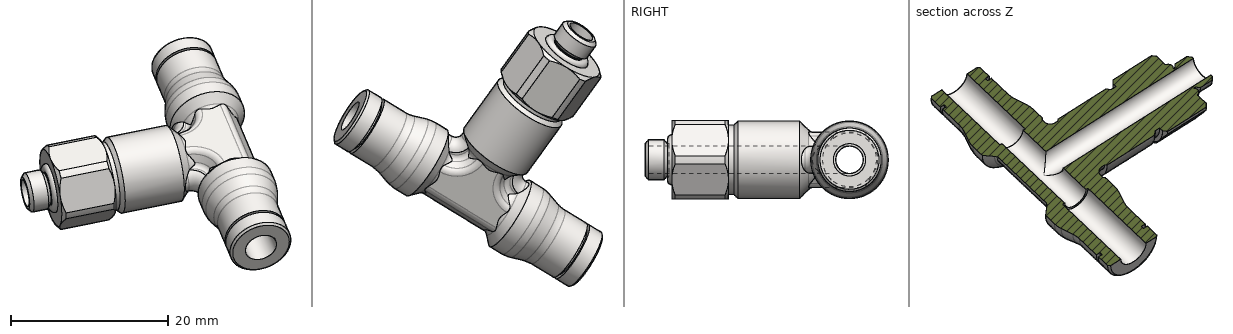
import cadquery as cq
import math


def on_circle(centre, radius, angle):
    """Point on a circle at an angle measured from its first axis."""
    return (centre[0] + radius * math.cos(angle), centre[1] + radius * math.sin(angle))


RUN_LENGTH = 36.0
HALF_RUN = RUN_LENGTH / 2
TUBE_R = 4.05
MOUTH_FACE_R = 3.75
MOUTH_CHAMFER = 0.25
GROOVE_START = 2.15
GROOVE_END = 2.52
GROOVE_R = 3.42
FLARE_START = 6.48
FLARE_END = 9.25
FLARE_BLEND_R = 3.6

SHOULDER_R = 4.95
SHOULDER_DISTANCE = 6.35
CONE_ANGLE = math.radians(45)
CONE_TIP_R = 3.42
CONE_BLEND_R = 1.35
CONE_FOOT_R = CONE_TIP_R + CONE_BLEND_R * (1 - math.cos(CONE_ANGLE))
CONE_FOOT_DISTANCE = SHOULDER_DISTANCE - (SHOULDER_R - CONE_FOOT_R) / math.tan(CONE_ANGLE)
CONE_TIP_DISTANCE = CONE_FOOT_DISTANCE - CONE_BLEND_R * math.sin(CONE_ANGLE)

BORE_R = 1.73
SOCKET_R = 2.05
SOCKET_DEPTH = 11.65

BODY_HALF_Z = 3.53
BODY_REAR_Y = 3.55
REAR_CORNER_Y = 1.95
FLANK_SLOPE = math.radians(60)
EDGE_BLEND_R = 1.0
CORNER_CENTRE = 5.15
RIM_R = 4.0
FLANK_FOOT_R = 2.6
WEB_BLEND_R = 0.85
NOSE_CENTRE = 5.65
NOSE_R = 0.95
NOSE_EDGE_R = 2.25
CUT_MARGIN = 0.35
PICK_MARGIN = 0.35

UPRIGHT = math.pi / 2
EDGE_CENTRE = (RIM_R, BODY_HALF_Z - EDGE_BLEND_R)
FLANK_TOP = on_circle(EDGE_CENTRE, EDGE_BLEND_R, UPRIGHT + FLANK_SLOPE)
FLANK_DROP = (FLANK_TOP[0] - FLANK_FOOT_R) * math.tan(FLANK_SLOPE)
FLANK_FOOT = (FLANK_FOOT_R, FLANK_TOP[1] - FLANK_DROP)
WEB_BLEND_CENTRE = on_circle(FLANK_FOOT, WEB_BLEND_R, UPRIGHT + FLANK_SLOPE)
WEB_TOP = on_circle(WEB_BLEND_CENTRE, WEB_BLEND_R, -UPRIGHT)
WEB_HALF_Z = WEB_TOP[1]

SLEEVE_END = -14.7
SLEEVE_CHAMFER = 0.55
NECK_R = 4.43
HEX_START = -15.37
HEX_END = -22.57
HEX_FLATS = 10.0
HEX_CORNER_R = 5.5
HEX_CHAMFER = 0.45
SEAL_SECTION_R = 0.65
SEAL_END = -23.15
THREAD_R = 2.55
THREAD_TIP_R = 2.1
THREAD_CHAMFER = 0.45
BRANCH_END = -25.95


def shoulder_cone():
    """Cone from the +X shoulder inwards, blending tangentially towards the middle body."""
    blend_centre = (CONE_TIP_DISTANCE, CONE_TIP_R + CONE_BLEND_R)
    blend_mid = on_circle(blend_centre, CONE_BLEND_R, CONE_ANGLE / 2 - math.pi / 2)
    outline = (
        cq.Workplane("XY")
        .moveTo(CONE_TIP_DISTANCE, 0)
        .lineTo(CONE_TIP_DISTANCE, CONE_TIP_R)
        .threePointArc(blend_mid, (CONE_FOOT_DISTANCE, CONE_FOOT_R))
        .lineTo(SHOULDER_DISTANCE, SHOULDER_R)
        .lineTo(SHOULDER_DISTANCE, 0)
        .close()
    )
    return outline.revolve(360, (0, 0, 0), (1, 0, 0))


def run_arm():
    """Tube socket on the +X side, turned about the X axis."""
    end = HALF_RUN
    outline = [
        (SHOULDER_DISTANCE, 0),
        (SHOULDER_DISTANCE, SHOULDER_R),
        (end - FLARE_END, SHOULDER_R),
        (end - FLARE_START, TUBE_R),
        (end - GROOVE_END, TUBE_R),
        (end - GROOVE_END, GROOVE_R),
        (end - GROOVE_START, GROOVE_R),
        (end - GROOVE_START, TUBE_R),
        (end - MOUTH_CHAMFER, TUBE_R),
        (end, MOUTH_FACE_R),
        (end, 0),
    ]
    arm = cq.Workplane("XY").polyline(outline).close().revolve(360, (0, 0, 0), (1, 0, 0))
    flare_zone = cq.selectors.BoxSelector(
        (end - FLARE_END - PICK_MARGIN, -SHOULDER_R, -SHOULDER_R),
        (end - FLARE_START + PICK_MARGIN, SHOULDER_R, SHOULDER_R),
    )
    return arm.edges(flare_zone).edges("%CIRCLE").fillet(FLARE_BLEND_R)


def branch_turned():
    """Round parts of the branch, turned about the Y axis."""
    outline = [
        (0, -SHOULDER_DISTANCE),
        (SHOULDER_R, -SHOULDER_DISTANCE),
        (SHOULDER_R, SLEEVE_END + SLEEVE_CHAMFER),
        (NECK_R, SLEEVE_END),
        (NECK_R, HEX_END),
        (THREAD_TIP_R, HEX_END),
        (THREAD_TIP_R, SEAL_END),
        (THREAD_R, SEAL_END - THREAD_CHAMFER),
        (THREAD_R, BRANCH_END + THREAD_CHAMFER),
        (THREAD_TIP_R, BRANCH_END),
        (0, BRANCH_END),
    ]
    return cq.Workplane("XY").polyline(outline).close().revolve(360, (0, 0, 0), (0, 1, 0))


def seal_ring():
    """Sealing ring of round section, partly sunk into the end of the hexagon."""
    section = cq.Workplane("XY").center(THREAD_R, SEAL_END + SEAL_SECTION_R).circle(SEAL_SECTION_R)
    return section.revolve(360, (-THREAD_R, 0, 0), (-THREAD_R, 1, 0))


def hexagon():
    """Hexagon with flats facing +Z and -Z, its corners turned down and chamfered."""
    length = HEX_START - HEX_END
    across_corners = HEX_FLATS / math.cos(math.pi / 6)
    face_r = HEX_FLATS / 2
    prism = cq.Workplane("XZ", origin=(0, HEX_START, 0)).polygon(6, across_corners).extrude(length)
    outline = [
        (0, HEX_START),
        (face_r, HEX_START),
        (HEX_CORNER_R, HEX_START - HEX_CHAMFER),
        (HEX_CORNER_R, HEX_END + HEX_CHAMFER),
        (face_r, HEX_END),
        (0, HEX_END),
    ]
    turned = cq.Workplane("XY").polyline(outline).close().revolve(360, (0, 0, 0), (0, 1, 0))
    return prism.intersect(turned)


def flank_section(plane):
    """Material removed above the web: rounded top edge, sloped flank, blend into the web."""
    above = BODY_HALF_Z + CUT_MARGIN
    edge_mid = on_circle(EDGE_CENTRE, EDGE_BLEND_R, UPRIGHT + FLANK_SLOPE / 2)
    blend_mid = on_circle(WEB_BLEND_CENTRE, WEB_BLEND_R, FLANK_SLOPE / 2 - UPRIGHT)
    return (
        cq.Workplane(plane)
        .moveTo(0, above)
        .lineTo(RIM_R, above)
        .lineTo(RIM_R, BODY_HALF_Z)
        .threePointArc(edge_mid, FLANK_TOP)
        .lineTo(*FLANK_FOOT)
        .threePointArc(blend_mid, WEB_TOP)
        .lineTo(0, WEB_HALF_Z)
        .close()
    )


def nose_section(plane):
    """Material removed outside the bulging nose of the web."""
    return (
        cq.Workplane(plane)
        .moveTo(0, WEB_HALF_Z)
        .lineTo(NOSE_EDGE_R, WEB_HALF_Z)
        .threePointArc((NOSE_R, 0), (NOSE_EDGE_R, -WEB_HALF_Z))
        .lineTo(0, -WEB_HALF_Z)
        .close()
    )


def corner_sweep(section, centre):
    """Sweep a section round the +X corner: a quarter turn with a straight run-out along each arm."""
    overrun = SHOULDER_DISTANCE - centre
    corner = (centre, -centre, 0)
    along_branch = cq.Plane(origin=corner, xDir=(-1, 0, 0), normal=(0, 1, 0))
    along_run = cq.Plane(origin=corner, xDir=(0, 1, 0), normal=(1, 0, 0))
    quarter = section(along_branch).revolve(90, (0, 0, 0), (0, -1, 0))
    branch_runout = section(along_branch).extrude(-overrun)
    run_runout = section(along_run).extrude(overrun)
    return quarter.union(branch_runout).union(run_runout)


def corner_relief():
    """Everything removed from the +X corner, the same above and below the middle plane."""
    flank = corner_sweep(flank_section, CORNER_CENTRE)
    nose = corner_sweep(nose_section, NOSE_CENTRE)
    return flank.union(flank.mirror("XY")).union(nose)


def middle_body():
    """Flat-sided T joining the three shoulders, with sloped rear edges and relieved corners."""
    rear_half_z = BODY_HALF_Z - (BODY_REAR_Y - REAR_CORNER_Y) * math.tan(FLANK_SLOPE)
    side = [
        (-CORNER_CENTRE, BODY_HALF_Z),
        (REAR_CORNER_Y, BODY_HALF_Z),
        (BODY_REAR_Y, rear_half_z),
        (BODY_REAR_Y, -rear_half_z),
        (REAR_CORNER_Y, -BODY_HALF_Z),
        (-CORNER_CENTRE, -BODY_HALF_Z),
    ]
    run_bar = cq.Workplane("YZ").polyline(side).close().extrude(SHOULDER_DISTANCE, both=True)
    rear_zone = cq.selectors.BoxSelector(
        (-PICK_MARGIN, REAR_CORNER_Y - PICK_MARGIN, -BODY_HALF_Z - PICK_MARGIN),
        (PICK_MARGIN, BODY_REAR_Y + PICK_MARGIN, BODY_HALF_Z + PICK_MARGIN),
    )
    run_bar = run_bar.edges(rear_zone).edges("|X").fillet(EDGE_BLEND_R)
    branch_bar = cq.Workplane("XY").box(
        2 * CORNER_CENTRE, SHOULDER_DISTANCE, 2 * BODY_HALF_Z
    ).translate((0, -SHOULDER_DISTANCE / 2, 0))
    relief = corner_relief()
    return run_bar.union(branch_bar).cut(relief).cut(relief.mirror("YZ"))


def bores():
    """Through bore with a tube socket at each end, and the branch bore meeting it."""
    along_x = cq.Workplane("YZ")
    through = along_x.circle(BORE_R).extrude(HALF_RUN, both=True)
    socket = along_x.workplane(offset=HALF_RUN - SOCKET_DEPTH).circle(SOCKET_R).extrude(SOCKET_DEPTH)
    branch_bore = cq.Workplane("XZ").circle(BORE_R).extrude(-BRANCH_END)
    return through.union(socket).union(socket.mirror("YZ")).union(branch_bore)


cone = shoulder_cone()
arm = run_arm().union(cone)
branch_cone = cone.rotate((0, 0, 0), (0, 0, 1), -90)
branch = branch_turned().union(branch_cone).union(hexagon()).union(seal_ring())
solid = middle_body().union(arm).union(arm.mirror("YZ")).union(branch)
result = solid.cut(bores())